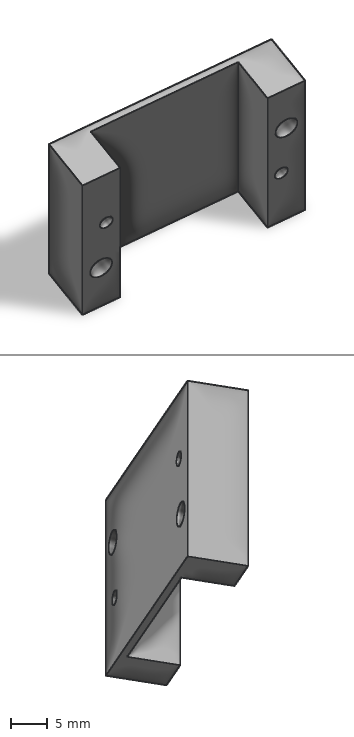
import cadquery as cq

depth = 8.68
length = 35.55
height = 27.2

leg_width = 6.0
web_thickness = 1.1
channel_width = length - 2 * leg_width
channel_depth = depth - web_thickness

large_hole_diameter = 3.5
large_hole_y = 14.8
large_hole_z = 5.5
small_hole_diameter = 2.05
small_hole_y = 13.98
small_hole_z = -3.5


def hole_pair(diameter, y, z):
    """Two cylinders along X, half a turn apart about the X axis."""
    return (
        cq.Workplane("YZ")
        .pushPoints([(y, z), (-y, -z)])
        .circle(diameter / 2)
        .extrude(depth, both=True)
    )


block = cq.Workplane("XY").box(depth, length, height)

channel = (
    cq.Workplane("XY")
    .box(channel_depth, channel_width, height)
    .translate((web_thickness / 2, 0, 0))
)

result = (
    block.cut(channel)
    .cut(hole_pair(large_hole_diameter, large_hole_y, large_hole_z))
    .cut(hole_pair(small_hole_diameter, small_hole_y, small_hole_z))
)